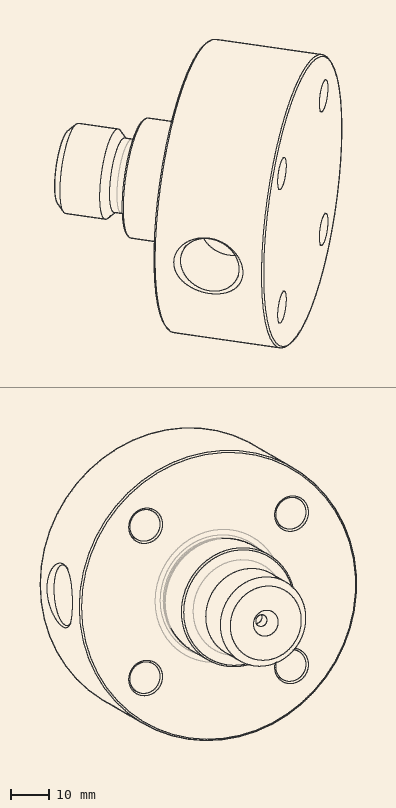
import cadquery as cq
import math

TOTAL_LENGTH = 65.0
FLANGE_WIDTH = 29.95
FLANGE_FACE = TOTAL_LENGTH - FLANGE_WIDTH
NECK_START = 12.9
NECK_FILLET_START = 17.0
COLLAR_END = 32.45
RELIEF_START = 33.8

FLANGE_R = 78 / 2
COLLAR_R = 32 / 2
SHAFT_R = 24.0 / 2
NECK_R = 19.8 / 2
RELIEF_R = 31.4 / 2
FACE_RELIEF_R = 35.7 / 2

TIP_CHAMFER = 2.0
EDGE_CHAMFER = 0.5
NECK_FILLET = 3.0
RELIEF_FILLET = 0.6
FACE_RELIEF_DEPTH = 0.2

BOLT_HOLE_D = 8.5
BOLT_SINK_D = 9.5
BOLT_CIRCLE_R = 29.0
BOLT_COUNT = 4
FIRST_BOLT_ANGLE = 45
CENTRE_SINK_D = 6.95
CENTRE_HOLE_D = 3.1
CENTRE_DEPTH = 7
CENTRE_SINK_ANGLE = 60
SPANNER_HOLE_D = 16.0
SPANNER_SINK_D = 18.9
SPANNER_HOLE_DEPTH = 20.3
DRILL_POINT_ANGLE = 118
SINK_ANGLE = 90


def arc_mid(centre_x, centre_r, radius):
    """Middle of the quarter arc on the +X, inward side of its centre."""
    offset = radius * math.sqrt(0.5)
    return centre_x + offset, centre_r - offset


def turned_body():
    """Shaft, neck, collar and flange revolved about X."""
    neck_fillet_end = NECK_FILLET_START + NECK_FILLET
    relief_floor = FLANGE_FACE + FACE_RELIEF_DEPTH
    relief_fillet_start = relief_floor - RELIEF_FILLET
    return (
        cq.Workplane("XY")
        .moveTo(0, 0)
        .lineTo(0, SHAFT_R - TIP_CHAMFER)
        .lineTo(TIP_CHAMFER, SHAFT_R)
        .lineTo(NECK_START, SHAFT_R)
        .lineTo(NECK_START + SHAFT_R - NECK_R, NECK_R)
        .lineTo(NECK_FILLET_START, NECK_R)
        .threePointArc(
            arc_mid(NECK_FILLET_START, NECK_R + NECK_FILLET, NECK_FILLET),
            (neck_fillet_end, NECK_R + NECK_FILLET),
        )
        .lineTo(neck_fillet_end, COLLAR_R - EDGE_CHAMFER)
        .lineTo(neck_fillet_end + EDGE_CHAMFER, COLLAR_R)
        .lineTo(COLLAR_END, COLLAR_R)
        .lineTo(RELIEF_START, RELIEF_R)
        .lineTo(relief_fillet_start, RELIEF_R)
        .threePointArc(
            arc_mid(relief_fillet_start, RELIEF_R + RELIEF_FILLET, RELIEF_FILLET),
            (relief_floor, RELIEF_R + RELIEF_FILLET),
        )
        .lineTo(FLANGE_FACE, FACE_RELIEF_R)
        .lineTo(FLANGE_FACE, FLANGE_R - EDGE_CHAMFER)
        .lineTo(FLANGE_FACE + EDGE_CHAMFER, FLANGE_R)
        .lineTo(TOTAL_LENGTH - EDGE_CHAMFER, FLANGE_R)
        .lineTo(TOTAL_LENGTH, FLANGE_R - EDGE_CHAMFER)
        .lineTo(TOTAL_LENGTH, 0)
        .close()
        .revolve(360, (0, 0), (1, 0))
    )


def drill(mouth, direction, hole_d, sink_d, depth, sink_angle=SINK_ANGLE):
    """Cutter for a countersunk hole with a conical drill point; depth excludes the point."""
    hole_r = hole_d / 2
    sink_r = sink_d / 2
    sink_depth = (sink_r - hole_r) / math.tan(math.radians(sink_angle / 2))
    point_depth = hole_r / math.tan(math.radians(DRILL_POINT_ANGLE / 2))
    cutter = (
        cq.Workplane("XZ")
        .moveTo(0, 0)
        .lineTo(sink_r, 0)
        .lineTo(hole_r, sink_depth)
        .lineTo(hole_r, depth)
        .lineTo(0, depth + point_depth)
        .close()
        .revolve(360, (0, 0), (0, 1))
    )
    plane = cq.Plane(mouth, xDir=(0, 0, 1), normal=direction)
    return cutter.val().moved(plane.location)


body = turned_body()

body = body.cut(drill((0, 0, 0), (1, 0, 0), CENTRE_HOLE_D, CENTRE_SINK_D, CENTRE_DEPTH, CENTRE_SINK_ANGLE))

for index in range(BOLT_COUNT):
    angle = math.radians(FIRST_BOLT_ANGLE + index * 360 / BOLT_COUNT)
    mouth = (FLANGE_FACE, BOLT_CIRCLE_R * math.cos(angle), BOLT_CIRCLE_R * math.sin(angle))
    body = body.cut(drill(mouth, (1, 0, 0), BOLT_HOLE_D, BOLT_SINK_D, FLANGE_WIDTH))

for side in (-1, 1):
    mouth = (FLANGE_FACE + FLANGE_WIDTH / 2, side * FLANGE_R, 0)
    body = body.cut(drill(mouth, (0, -side, 0), SPANNER_HOLE_D, SPANNER_SINK_D, SPANNER_HOLE_DEPTH))

result = body